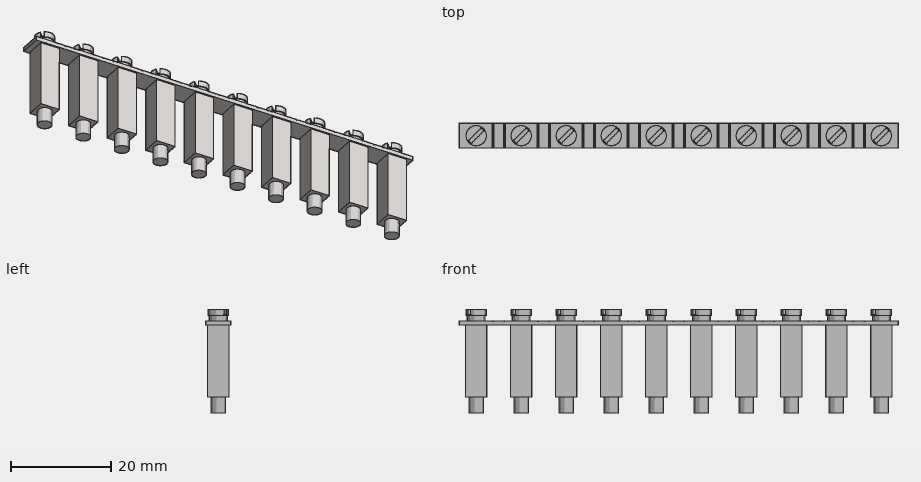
import cadquery as cq


strip_length = 87.8
strip_width = 5.0
strip_thickness = 0.9

screw_count = 10
last_screw_x = 40.5
screw_pitch = 2 * last_screw_x / (screw_count - 1)
screw_xs = [i * screw_pitch - last_screw_x for i in range(screw_count)]

score_spacing = 2.3
score_width = 0.4
score_depth = 0.1

sleeve_side = 4.3
sleeve_length = 14.4

head_diameter = 4.0
head_height = 1.2
neck_diameter = 3.6
neck_height = 1.05
shank_diameter = 3.0
shank_overhang = 3.2
slot_width = 0.8
slot_depth = 1.05
slot_angle = 45.0

neck_top = strip_thickness + neck_height
head_top = neck_top + head_height


def make_cylinder(diameter, base_z, height):
    """Cylinder on the Z axis; a negative height grows it downwards."""
    return cq.Workplane("XY", origin=(0, 0, base_z)).circle(diameter / 2).extrude(height)


def make_score(x):
    """Triangular cutter for one score line, running across the whole strip."""
    return (
        cq.Workplane("XZ", origin=(x, strip_width / 2, strip_thickness))
        .moveTo(-score_width / 2, 0)
        .lineTo(0, -score_depth)
        .lineTo(score_width / 2, 0)
        .close()
        .extrude(strip_width)
    )


def make_strip():
    """Flat strip with the score lines cut into its top face."""
    strip = cq.Workplane("XY").box(strip_length, strip_width, strip_thickness, centered=(True, True, False))
    for x in screw_xs[:-1]:
        gap_middle = x + screw_pitch / 2
        strip = strip.cut(make_score(gap_middle - score_spacing / 2))
        strip = strip.cut(make_score(gap_middle + score_spacing / 2))
    return strip


def make_screw_top():
    """Slotted screw head on its narrower neck, standing on the strip."""
    slot = (
        cq.Workplane("XY", origin=(0, 0, head_top - slot_depth))
        .rect(2 * head_diameter, slot_width)
        .extrude(slot_depth)
        .rotate((0, 0, 0), (0, 0, 1), slot_angle)
    )
    head = make_cylinder(head_diameter, neck_top, head_height).cut(slot)
    return make_cylinder(neck_diameter, strip_thickness, neck_height).union(head)


def make_sleeve_and_shank():
    """Square sleeve hanging from the strip, with the end of the shank below it."""
    sleeve = cq.Workplane("XY").rect(sleeve_side, sleeve_side).extrude(-sleeve_length)
    return sleeve.union(make_cylinder(shank_diameter, -sleeve_length, -shank_overhang))


screw_top = make_screw_top()
sleeve_and_shank = make_sleeve_and_shank()
result = make_strip()
for x in screw_xs:
    result = result.union(screw_top.translate((x, 0, 0)))
    result = result.union(sleeve_and_shank.translate((x, 0, 0)))